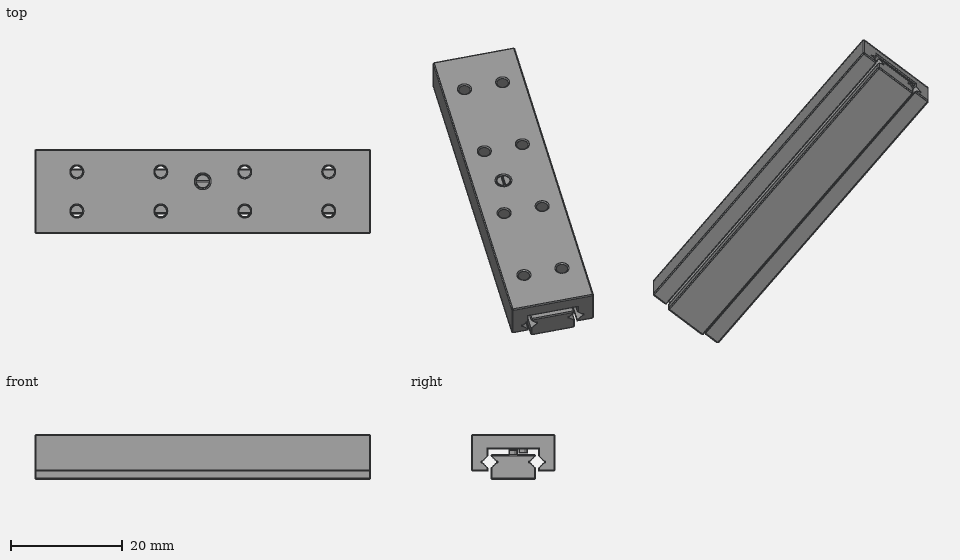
import cadquery as cq
import math

length = 60.0
width = 15.0
height = 8.0

edge_chamfer = 0.2
end_chamfer = 0.2

carriage_bottom = 1.5
channel_ceiling = 5.4
channel_width = 9.0

rail_width = 8.0
rail_top = 4.4

groove_height = 3.1
groove_half_size = 1.4
relief_height = 0.2
relief_half_width = 1.45
groove_center_y = (channel_width + rail_width) / 4

mount_hole_diameter = 2.05
mount_mouth_diameter = 2.5
mount_positions_x = (-22.5, -7.5, 7.5, 22.5)
mount_position_y = 3.5

screw_y = 1.8
screw_diameter = 2.5
screw_mouth_diameter = 3.0
screw_tip_diameter = 1.5
screw_tip_bottom = 4.7
screw_slot_width = 0.3
screw_slot_depth = 0.5
screw_rim_chamfer = 0.1

pin_diameter = 1.5
pin_top = 5.2
pin_depth = 2.0


def bar(bar_width, bottom, top):
    """Full-length bar centred on X and Y between two heights."""
    return cq.Workplane("XY").workplane(offset=bottom).rect(length, bar_width).extrude(top - bottom)


def cylinder(diameter, bottom, top, x=0.0, y=0.0):
    """Upright cylinder between two heights."""
    return (
        cq.Workplane("XY", origin=(x, y, bottom))
        .circle(diameter / 2)
        .extrude(top - bottom)
    )


def diamond_grooves():
    """Two full-length square bores set on edge, forming V grooves with relief slots."""
    side = groove_half_size * math.sqrt(2)
    bore = cq.Workplane("XY").box(length, side, side).rotate((0, 0, 0), (1, 0, 0), 45)
    bore = bore.union(cq.Workplane("XY").box(length, 2 * relief_half_width, relief_height))
    left_bore = bore.translate((0, groove_center_y, groove_height))
    right_bore = bore.translate((0, -groove_center_y, groove_height))
    return left_bore.union(right_bore)


def mouthed_hole(diameter, mouth_diameter, x, y):
    """Cutter for a hole from the carriage top to the channel, with a 45 degree mouth."""
    hole = cylinder(diameter, channel_ceiling, height, x, y)
    mouth_depth = (mouth_diameter - diameter) / 2
    mouth = cq.Solid.makeCone(
        diameter / 2, mouth_diameter / 2, mouth_depth, cq.Vector(x, y, height - mouth_depth)
    )
    return hole.union(cq.Workplane(mouth))


def make_carriage():
    """Channel block with V grooves, eight mounting holes and the screw hole."""
    body = bar(width, carriage_bottom, height)
    body = body.edges("|X").chamfer(edge_chamfer)
    body = body.cut(bar(channel_width, carriage_bottom, channel_ceiling))
    body = body.faces("<X or >X").chamfer(end_chamfer)
    body = body.cut(diamond_grooves())
    for x in mount_positions_x:
        for y in (-mount_position_y, mount_position_y):
            body = body.cut(mouthed_hole(mount_hole_diameter, mount_mouth_diameter, x, y))
    return body.cut(mouthed_hole(screw_diameter, screw_mouth_diameter, 0, screw_y))


def make_rail():
    """Rail with V grooves in its sides and a blind hole for the stop pin."""
    body = bar(rail_width, 0, rail_top)
    body = body.edges("|X").chamfer(edge_chamfer)
    body = body.faces("<X or >X").chamfer(end_chamfer)
    body = body.cut(diamond_grooves())
    return body.cut(cylinder(pin_diameter, rail_top - pin_depth, rail_top))


def make_screw():
    """Slotted screw filling its hole, with a narrower tip reaching into the channel."""
    thread = cylinder(screw_diameter, channel_ceiling, height, y=screw_y)
    thread = thread.faces(">Z").chamfer(screw_rim_chamfer)
    tip = cylinder(screw_tip_diameter, screw_tip_bottom, channel_ceiling, y=screw_y)
    slot = (
        cq.Workplane("XY", origin=(0, screw_y, height - screw_slot_depth))
        .rect(screw_diameter, screw_slot_width)
        .extrude(screw_slot_depth)
    )
    return thread.union(tip).cut(slot)


def make_stop_pin():
    """Plain pin seated in the rail and standing above its top."""
    return cylinder(pin_diameter, rail_top - pin_depth, pin_top)


carriage = make_carriage()
rail = make_rail()
screw = make_screw()
stop_pin = make_stop_pin()

result = cq.Compound.makeCompound([carriage.val(), rail.val(), screw.val(), stop_pin.val()])